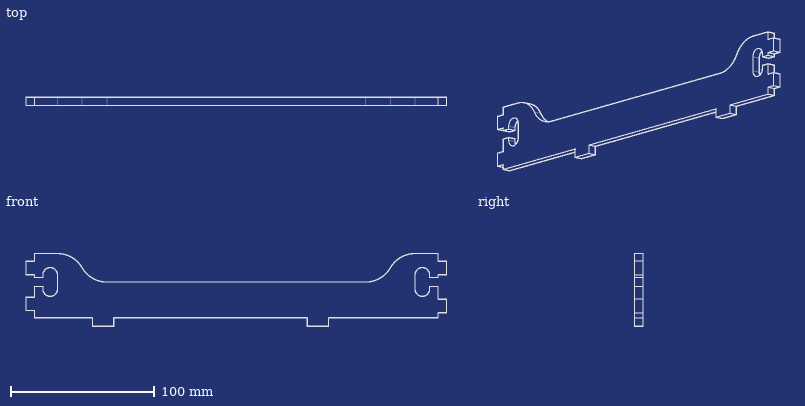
import cadquery as cq
import math

length = 294.0
thickness = 6.0
height = 51.0

tab_length = 6.0
foot_height = 6.0
body_length = length - 2 * tab_length
body_end = body_length / 2

shoulder_flat = 16.0
shoulder_drop = 20.0
sweep_radius = 20.0
sweep_angle = math.acos(1 - shoulder_drop / (2 * sweep_radius))
rail_top = height - shoulder_drop

slot_width = 10.0
slot_height = 20.0
slot_middle = 31.0
lip_thickness = 6.0
mouth_height = 6.0
slot_x = body_end - lip_thickness - slot_width / 2

tab_height = 9.5
upper_tab_bottom = 36.0
left_lower_tab_bottom = 11.0
right_lower_tab_bottom = 9.5

foot_length = 15.0
first_foot_offset = 46.5
foot_pitch = 150.0
foot_offsets = (first_foot_offset, first_foot_offset + foot_pitch)


def plate_block(x_start, x_end, z_start, z_end):
    """Block through the plate thickness, between the given X and Z limits."""
    block = cq.Workplane("XY").box(x_end - x_start, thickness, z_end - z_start, centered=False)
    return block.translate((x_start, -thickness, z_start))


def sweep_offset(angle):
    """Run and drop along one sweep arc, from its horizontal tangent to the given angle."""
    return sweep_radius * math.sin(angle), sweep_radius * (1 - math.cos(angle))


def make_body():
    """Plate with two raised ends and a low middle rail."""
    half_run, half_drop = sweep_offset(sweep_angle)
    mid_run, mid_drop = sweep_offset(sweep_angle / 2)
    crest_x = body_end - shoulder_flat
    middle_x = crest_x - half_run
    rail_x = crest_x - 2 * half_run
    middle_z = height - half_drop
    upper_z = height - mid_drop
    lower_z = rail_top + mid_drop
    return (
        cq.Workplane("XZ")
        .moveTo(-body_end, foot_height)
        .lineTo(-body_end, height)
        .lineTo(-crest_x, height)
        .threePointArc((-crest_x + mid_run, upper_z), (-middle_x, middle_z))
        .threePointArc((-rail_x - mid_run, lower_z), (-rail_x, rail_top))
        .lineTo(rail_x, rail_top)
        .threePointArc((rail_x + mid_run, lower_z), (middle_x, middle_z))
        .threePointArc((crest_x - mid_run, upper_z), (crest_x, height))
        .lineTo(body_end, height)
        .lineTo(body_end, foot_height)
        .close()
        .extrude(thickness)
    )


def make_tab(side, bottom):
    """Tab on one end: side is -1 for left and 1 for right."""
    x_start, x_end = sorted((side * body_end, side * length / 2))
    return plate_block(x_start, x_end, bottom, bottom + tab_height)


def make_hook_slot(side):
    """Round-ended slot and its mouth, open through one end of the body."""
    slot = (
        cq.Workplane("XZ")
        .center(side * slot_x, slot_middle)
        .slot2D(slot_height, slot_width, 90)
        .extrude(thickness)
    )
    x_start, x_end = sorted((side * slot_x, side * length / 2))
    mouth_bottom = slot_middle - mouth_height / 2
    return slot.union(plate_block(x_start, x_end, mouth_bottom, mouth_bottom + mouth_height))


def make_foot(offset):
    """Rectangular foot under the body."""
    x_start = offset - length / 2
    return plate_block(x_start, x_start + foot_length, 0, foot_height)


result = make_body()

for side, lower_tab_bottom in ((-1, left_lower_tab_bottom), (1, right_lower_tab_bottom)):
    result = result.union(make_tab(side, upper_tab_bottom))
    result = result.union(make_tab(side, lower_tab_bottom))
    result = result.cut(make_hook_slot(side))

for foot_offset in foot_offsets:
    result = result.union(make_foot(foot_offset))